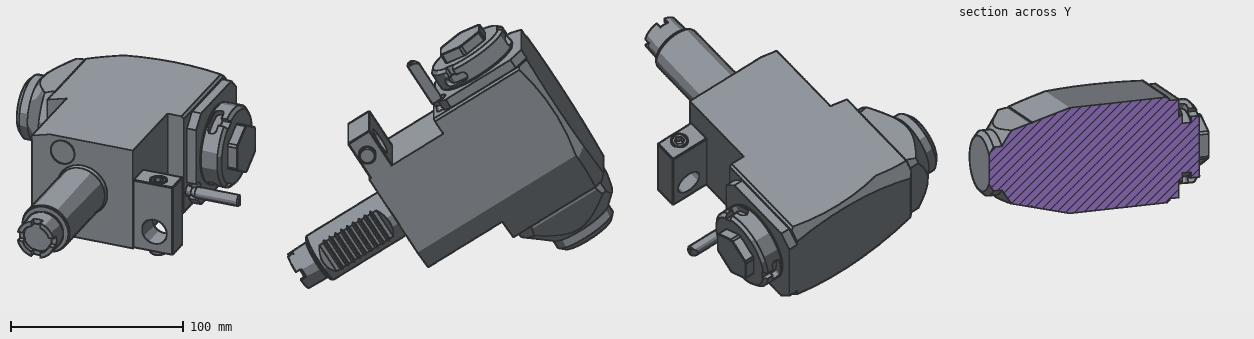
import cadquery as cq
import math


HALF_HEIGHT = 32.0
BODY_BACK = 115.0
STEP_Y = 51.0
STEM_HALF_WIDTH = 31.9
HEAD_LEFT = -44.0
HEAD_RIGHT = 42.2
TAPER_START_X = -20.4
TAPER_ANGLE = 15.0
CORNER_CHAMFER = 3.0
RIGHT_EDGE_CHAMFER = 1.5
BACK_ARC_X = 10.0
BACK_ARC_RADIUS = 125.0
BACK_CHAMFER = 2.4
PLUG_X, PLUG_Z = -12.6, 21.8
PLUG_RADIUS = 7.5
PLUG_RECESS = 0.5

SPINDLE_Y = 85.0
CAP_LEFT = -71.0
CAP_NECK_RADIUS = 19.2
CAP_END_CHAMFER = 2.8
CAP_CONE_START = -63.0
CAP_CONE_END = -50.2
CAP_RADIUS = 33.6
CAP_FLAT_Y = 110.8
CAP_RIM_X = -45.7
PLATE_HALF = 29.75
PLATE_RIGHT = 48.0
PLATE_CHAMFER = 7.5
NUT_RADIUS = 24.5
NUT_LEFT = 48.8
NUT_RIGHT = 61.1
NUT_CHAMFER = 2.0
NUT_NECK_RADIUS = 23.9
NUT_SLOT_X = 52.9
NUT_SLOT_WIDTH = 5.4
NUT_SLOT_LENGTH = 16.6
NUT_SLOT_DEPTH = 4.0
NUT_SLOT_COUNT = 3
NUT_SLOT_FIRST = -30.0
NOTCH_WIDTH = 5.2
NOTCH_DEPTH = 3.0
HEX_FLATS = 27.0
HEX_CORNER_RADIUS = 15.1
HEX_RIGHT = 67.2
HEX_END_CHAMFER = 0.4

PIN_Y, PIN_Z = 56.7, -18.9
PIN_RADIUS = 3.35
PIN_RIGHT = 75.38
PIN_CHAMFER = 0.9
PIN_GROOVE_RADIUS = 2.2
PIN_BEVEL = 3.2
PIN_CLEARANCE_RADIUS = 6.0

BLOCK_RIGHT = 56.6
BLOCK_FRONT, BLOCK_BACK = 1.0, 15.9
BLOCK_TOP = 12.3
BLOCK_EDGE_CHAMFER = 0.5
BLOCK_BORE_RADIUS = 7.8
SCREW_X, SCREW_Y = 45.0, 7.1
SCREW_RADIUS = 5.0
SCREW_CHAMFER = 0.8
SCREW_BOTTOM = -35.0
TOP_RECESS_DEPTH = 0.8
TOP_SCREW_RADIUS = 4.3
SOCKET_FLATS = 5.0
SOCKET_DEPTH = 4.0

SHANK_RADIUS = 15.0
COLLAR_RADIUS = 15.8
COLLAR_LENGTH = 2.2
SHANK_LENGTH = 54.8
SHANK_END_BEVEL = 1.2
SHANK_END_DROP = 0.5
GROOVE_LENGTH = 1.2
GROOVE_RADIUS = 11.4
TENON_RADIUS = 12.0
TENON_TIP_RADIUS = 11.6
SHANK_TOTAL = 69.0
TENON_BORE_RADIUS = 8.7
TENON_BORE_DEPTH = 3.0
TENON_SLOT_DEPTH = 3.6
TENON_SLOT_WIDTH = 5.6
RACK_Z = -11.8
RACK_START, RACK_END = 9.5, 48.6
TOOTH_PITCH = 4.0
TOOTH_DEPTH = 1.0
TOOTH_COUNT = 9
FIRST_TOOTH = 13.0


def x_cylinder(radius, x0, x1, y, z=0.0):
    """Cylinder parallel to X between x0 and x1."""
    return cq.Workplane("YZ", origin=(x0, y, z)).circle(radius).extrude(x1 - x0)


def x_revolve(points, y, z=0.0):
    """Turn an (x, radius) outline about the line through (y, z) parallel to X."""
    return cq.Workplane("XY", origin=(0, y, z)).polyline(points).close().revolve(360, (0, 0, 0), (1, 0, 0))


def taper_height(x):
    return HALF_HEIGHT - (TAPER_START_X - x) * math.tan(math.radians(TAPER_ANGLE))


def back_chamfer_cone(side):
    """Region kept by the arched 45 degree chamfer on the top (+1) or bottom (-1) back edge."""
    centre_z = side * (HALF_HEIGHT - BACK_CHAMFER - BACK_ARC_RADIUS)
    front_radius = BACK_ARC_RADIUS + BODY_BACK
    cone = cq.Solid.makeCone(
        front_radius, BACK_ARC_RADIUS, BODY_BACK,
        pnt=cq.Vector(BACK_ARC_X, 0, centre_z), dir=cq.Vector(0, 1, 0))
    return cq.Workplane(obj=cone)


def make_body():
    plan = [
        (-STEM_HALF_WIDTH, 0), (STEM_HALF_WIDTH, 0), (STEM_HALF_WIDTH, STEP_Y),
        (HEAD_RIGHT, STEP_Y), (HEAD_RIGHT, BODY_BACK),
        (HEAD_LEFT + CORNER_CHAMFER, BODY_BACK), (HEAD_LEFT, BODY_BACK - CORNER_CHAMFER),
        (HEAD_LEFT, STEP_Y), (-STEM_HALF_WIDTH, STEP_Y),
    ]
    shoulder = HEAD_RIGHT - RIGHT_EDGE_CHAMFER
    upper = [
        (HEAD_LEFT, taper_height(HEAD_LEFT)), (TAPER_START_X, HALF_HEIGHT),
        (shoulder, HALF_HEIGHT), (HEAD_RIGHT, HALF_HEIGHT - RIGHT_EDGE_CHAMFER),
    ]
    lower = [(x, -z) for x, z in reversed(upper)]
    body = cq.Workplane("XY").workplane(offset=-HALF_HEIGHT).polyline(plan).close().extrude(2 * HALF_HEIGHT)
    section = cq.Workplane("XZ").polyline(upper + lower).close().extrude(-BODY_BACK)
    body = body.intersect(section)
    for side in (1, -1):
        body = body.intersect(back_chamfer_cone(side))
    plug = cq.Workplane("XZ").center(PLUG_X, PLUG_Z).circle(PLUG_RADIUS).extrude(-PLUG_RECESS)
    return body.cut(plug)


def make_cap():
    turned = x_revolve([
        (CAP_LEFT, 0), (CAP_LEFT, CAP_NECK_RADIUS - CAP_END_CHAMFER),
        (CAP_LEFT + CAP_END_CHAMFER, CAP_NECK_RADIUS), (CAP_CONE_START, CAP_NECK_RADIUS),
        (CAP_CONE_END, CAP_RADIUS), (HEAD_LEFT, CAP_RADIUS), (HEAD_LEFT, 0),
    ], SPINDLE_Y)
    upper = [
        (CAP_LEFT, taper_height(CAP_LEFT)), (CAP_RIM_X, taper_height(CAP_RIM_X)),
        (HEAD_LEFT, taper_height(CAP_RIM_X)),
    ]
    lower = [(x, -z) for x, z in reversed(upper)]
    wedge = cq.Workplane("XZ").polyline(upper + lower).close().extrude(-CAP_FLAT_Y)
    return turned.intersect(wedge)


def make_plate():
    side = 2 * PLATE_HALF
    plate = cq.Workplane("YZ", origin=(HEAD_RIGHT, BODY_BACK - PLATE_HALF, 0)).rect(side, side)
    plate = plate.extrude(PLATE_RIGHT - HEAD_RIGHT).edges("|X").chamfer(PLATE_CHAMFER)
    return plate.cut(x_cylinder(PIN_CLEARANCE_RADIUS, HEAD_RIGHT, PLATE_RIGHT, PIN_Y, PIN_Z))


def make_nut():
    nut = x_revolve([
        (NUT_LEFT, 0), (NUT_LEFT, NUT_RADIUS), (NUT_RIGHT - NUT_CHAMFER, NUT_RADIUS),
        (NUT_RIGHT, NUT_RADIUS - NUT_CHAMFER), (NUT_RIGHT, 0),
    ], SPINDLE_Y)
    slot_floor = x_cylinder(NUT_RADIUS - NUT_SLOT_DEPTH, NUT_LEFT, NUT_RIGHT, SPINDLE_Y)
    slot_plane = cq.Workplane("XY", origin=(NUT_SLOT_X, SPINDLE_Y, 0))
    slot = slot_plane.slot2D(NUT_SLOT_LENGTH, NUT_SLOT_WIDTH, 90).extrude(NUT_RADIUS).cut(slot_floor)
    notch = cq.Workplane("XY").box(
        NUT_RIGHT - NUT_SLOT_X, NOTCH_WIDTH, 2 * NOTCH_DEPTH, centered=(False, True, True))
    cutter = slot.union(notch.translate((NUT_SLOT_X, SPINDLE_Y, NUT_RADIUS)))
    for index in range(NUT_SLOT_COUNT):
        angle = NUT_SLOT_FIRST + index * 360 / NUT_SLOT_COUNT
        nut = nut.cut(cutter.rotate((0, SPINDLE_Y, 0), (1, SPINDLE_Y, 0), -angle))
    neck = x_cylinder(NUT_NECK_RADIUS, PLATE_RIGHT, NUT_LEFT, SPINDLE_Y)
    hexagon = cq.Workplane("YZ", origin=(NUT_RIGHT, SPINDLE_Y, 0))
    hexagon = hexagon.polygon(6, HEX_FLATS, circumscribed=True).extrude(HEX_RIGHT - NUT_RIGHT)
    hexagon = hexagon.intersect(x_cylinder(HEX_CORNER_RADIUS, NUT_RIGHT, HEX_RIGHT, SPINDLE_Y))
    hexagon = hexagon.faces(">X").chamfer(HEX_END_CHAMFER)
    return nut.union(neck).union(hexagon)


def make_pin():
    groove_x = (HEAD_RIGHT + PLATE_RIGHT) / 2
    pin = x_revolve([
        (HEAD_RIGHT, 0), (HEAD_RIGHT, PIN_RADIUS), (groove_x, PIN_GROOVE_RADIUS),
        (PLATE_RIGHT, PIN_RADIUS), (PIN_RIGHT - PIN_CHAMFER, PIN_RADIUS),
        (PIN_RIGHT, PIN_RADIUS - PIN_CHAMFER), (PIN_RIGHT, 0),
    ], PIN_Y, PIN_Z)
    pin_back = PIN_Y + PIN_RADIUS
    bevel = cq.Workplane("XY", origin=(0, 0, PIN_Z - PIN_RADIUS)).polyline([
        (PIN_RIGHT - PIN_BEVEL, pin_back), (PIN_RIGHT, pin_back), (PIN_RIGHT, pin_back - PIN_BEVEL),
    ]).close().extrude(2 * PIN_RADIUS)
    return pin.cut(bevel)


def make_block():
    block = cq.Workplane("XY").box(
        BLOCK_RIGHT - STEM_HALF_WIDTH, BLOCK_BACK - BLOCK_FRONT, BLOCK_TOP + HALF_HEIGHT, centered=False)
    block = block.translate((STEM_HALF_WIDTH, BLOCK_FRONT, -HALF_HEIGHT))
    block = block.faces(">X or >Z or <Z").edges().edges("not <X").chamfer(BLOCK_EDGE_CHAMFER)
    bore = cq.Workplane("XZ").center(SCREW_X, PIN_Z).circle(BLOCK_BORE_RADIUS).extrude(-BLOCK_BACK)
    recess = cq.Workplane("XY", origin=(SCREW_X, SCREW_Y, BLOCK_TOP - TOP_RECESS_DEPTH))
    ring = recess.circle(SCREW_RADIUS).circle(TOP_SCREW_RADIUS).extrude(TOP_RECESS_DEPTH)
    socket = cq.Workplane("XY", origin=(SCREW_X, SCREW_Y, BLOCK_TOP - SOCKET_DEPTH))
    socket = socket.polygon(6, SOCKET_FLATS, circumscribed=True).extrude(SOCKET_DEPTH)
    head = cq.Workplane("XY", origin=(SCREW_X, SCREW_Y, SCREW_BOTTOM)).circle(SCREW_RADIUS)
    head = head.extrude(-HALF_HEIGHT - SCREW_BOTTOM).faces("<Z").chamfer(SCREW_CHAMFER)
    return block.cut(bore).cut(ring).cut(socket).union(head)


def make_rack_cut():
    """Toothed flat along the underside of the shank, cut across its full width."""
    drop = SHANK_RADIUS + RACK_Z
    outline = [(-RACK_START + drop, -SHANK_RADIUS), (-RACK_START, RACK_Z)]
    for index in range(TOOTH_COUNT):
        y = -FIRST_TOOTH - index * TOOTH_PITCH
        outline += [(y + TOOTH_DEPTH, RACK_Z), (y, RACK_Z + TOOTH_DEPTH), (y - TOOTH_DEPTH, RACK_Z)]
    outline += [(-RACK_END, RACK_Z), (-RACK_END - drop, -SHANK_RADIUS)]
    return cq.Workplane("YZ").polyline(outline).close().extrude(SHANK_RADIUS, both=True)


def make_shank():
    tenon_start = SHANK_LENGTH + GROOVE_LENGTH
    shank = cq.Workplane("XY").polyline([
        (0, 0), (COLLAR_RADIUS, 0),
        (SHANK_RADIUS, -COLLAR_LENGTH), (SHANK_RADIUS, -SHANK_LENGTH + SHANK_END_BEVEL),
        (SHANK_RADIUS - SHANK_END_DROP, -SHANK_LENGTH), (GROOVE_RADIUS, -SHANK_LENGTH),
        (GROOVE_RADIUS, -tenon_start), (TENON_RADIUS, -tenon_start),
        (TENON_TIP_RADIUS, -SHANK_TOTAL), (0, -SHANK_TOTAL),
    ]).close().revolve(360, (0, 0, 0), (0, 1, 0))
    end_plane = cq.Workplane("XZ", origin=(0, -SHANK_TOTAL, 0))
    shank = shank.cut(end_plane.circle(TENON_BORE_RADIUS).extrude(-TENON_BORE_DEPTH))
    slot_ring = end_plane.circle(TENON_RADIUS).circle(TENON_BORE_RADIUS).extrude(-TENON_SLOT_DEPTH)
    for angle in (0, 90):
        bar = end_plane.rect(2 * TENON_RADIUS, TENON_SLOT_WIDTH).extrude(-TENON_SLOT_DEPTH)
        shank = shank.cut(bar.rotate((0, 0, 0), (0, 1, 0), angle).intersect(slot_ring))
    return shank.cut(make_rack_cut())


result = make_body()
for piece in (make_cap(), make_plate(), make_nut(), make_pin(), make_block(), make_shank()):
    result = result.union(piece)